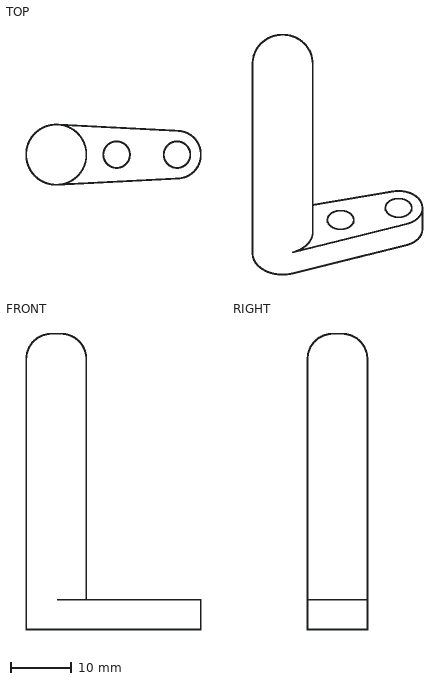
import cadquery as cq
import math

post_diameter = 10.0
post_radius = post_diameter / 2
post_height = 49
top_fillet = 4.2

arm_thickness = 5.0
hole_diameter = 4.35
hole_pitch = post_diameter
hole_count = 2
arm_length = hole_count * hole_pitch
tip_radius = 3.95


def make_post():
    post = cq.Workplane("XY").circle(post_radius).extrude(post_height)
    return post.faces(">Z").edges().fillet(top_fillet)


def make_arm():
    taper = math.asin((post_radius - tip_radius) / arm_length)
    root_x = post_radius * math.sin(taper)
    root_y = post_radius * math.cos(taper)
    tip_x = arm_length + tip_radius * math.sin(taper)
    tip_y = tip_radius * math.cos(taper)
    return (
        cq.Workplane("XY")
        .moveTo(root_x, -root_y)
        .lineTo(tip_x, -tip_y)
        .threePointArc((arm_length + tip_radius, 0), (tip_x, tip_y))
        .lineTo(root_x, root_y)
        .close()
        .extrude(arm_thickness)
    )


def make_holes():
    centers = [(hole_pitch * (i + 1), 0) for i in range(hole_count)]
    return cq.Workplane("XY").pushPoints(centers).circle(hole_diameter / 2).extrude(arm_thickness)


result = make_post().union(make_arm()).cut(make_holes())